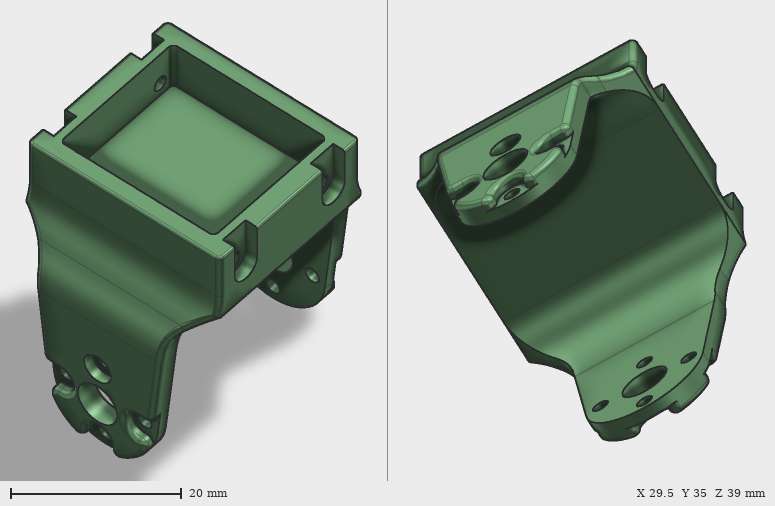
import cadquery as cq
import math


width_x = 29.5
span_y = 35.0
height_z = 39.0

tray_y = 25.5
tray_height = 10.02
pocket_x = 23.55
pocket_y = 20.5
pocket_depth = 7.0
pocket_corner_radius = 0.75
rim_fillet = 0.35

tip_radius = 8.0
arm_thickness = 3.0
taper_angle = 6.3
shoulder_angle = 40.0
neck_radius = 4.0
bend_top_drop = 6.6
bend_radius = 7.5
inner_bend_radius = 7.5
edge_fillet = 0.75

bore_diameter = 6.0
screw_circle_radius = 6.0
screw_diameter = 2.05
screw_head_diameter = 4.1
seat_depth = arm_thickness / 2
mouth_fillet = 1.0

slot_spacing = 16.0
slot_screw_drop = 5.0
slot_depth = 1.8

half_x = width_x / 2
half_y = span_y / 2
half_tray_y = tray_y / 2
inner_y = half_y - arm_thickness
top_z = height_z - tip_radius
tray_bottom_z = top_z - tray_height
bend_top_z = top_z - bend_top_drop
slot_screw_z = top_z - slot_screw_drop

bend_offset = (half_y - half_tray_y) / 2
bend_sweep = math.acos(1 - bend_offset / bend_radius)
bend_rise = bend_radius * math.sin(bend_sweep)
bend_bottom_z = bend_top_z - 2 * bend_rise


def outer_skin():
    """Solid block with the S-bent outer skin on both Y sides, full width in X."""
    mid_rise = bend_radius * math.sin(bend_sweep / 2)
    mid_offset = bend_radius * (1 - math.cos(bend_sweep / 2))
    half = (
        cq.Workplane("YZ")
        .moveTo(0, top_z)
        .lineTo(half_tray_y, top_z)
        .lineTo(half_tray_y, bend_top_z)
        .threePointArc(
            (half_tray_y + mid_offset, bend_top_z - mid_rise),
            (half_tray_y + bend_offset, bend_top_z - bend_rise),
        )
        .threePointArc(
            (half_y - mid_offset, bend_bottom_z + mid_rise),
            (half_y, bend_bottom_z),
        )
        .lineTo(half_y, -tip_radius)
        .lineTo(0, -tip_radius)
        .close()
        .extrude(half_x, both=True)
    )
    return half.union(half.mirror("XZ"))


def front_outline():
    """Plate with the XZ outline: wide tray, sloping shoulders, tapered arm and round tip."""
    taper = math.radians(taper_angle)
    slope_in = math.tan(taper)
    slope_up = math.tan(math.radians(shoulder_angle))
    tangent_x = tip_radius * math.cos(taper)
    tangent_z = -tip_radius * math.sin(taper)
    axis_x = tip_radius / math.cos(taper)
    neck_z = (tray_bottom_z - (half_x - axis_x) * slope_up) / (1 - slope_in * slope_up)
    neck_x = axis_x + neck_z * slope_in
    plate = (
        cq.Workplane("XZ")
        .moveTo(half_x, top_z)
        .lineTo(half_x, tray_bottom_z)
        .lineTo(neck_x, neck_z)
        .lineTo(tangent_x, tangent_z)
        .threePointArc((0, -tip_radius), (-tangent_x, tangent_z))
        .lineTo(-neck_x, neck_z)
        .lineTo(-half_x, tray_bottom_z)
        .lineTo(-half_x, top_z)
        .close()
        .extrude(half_y, both=True)
    )
    neck_corners = cq.selectors.BoxSelector(
        (-half_x, -half_y, neck_z - neck_radius), (half_x, half_y, tray_bottom_z - edge_fillet)
    )
    return plate.edges("|Y").edges(neck_corners).fillet(neck_radius)


def arm_seat(angle, open_ended):
    """Screw-head recesses in both arm skins, turned by the angle from +X toward -Z.

    An open-ended recess runs out through the edge of the arm.
    """
    seat = cq.Workplane("XZ").center(screw_circle_radius, 0).circle(screw_head_diameter / 2)
    seat = seat.extrude(seat_depth)
    if open_ended:
        run_out = cq.Workplane("XZ").center(screw_circle_radius + tip_radius / 2, 0)
        seat = seat.union(run_out.rect(tip_radius, screw_head_diameter).extrude(seat_depth))
    seat = seat.rotate((0, 0, 0), (0, 1, 0), angle).translate((0, seat_depth - half_y, 0))
    return seat.union(seat.mirror("XZ"))


def round_seat_mouths(block):
    """Round the corners where the seat walls run out through the edge of the arm."""
    wall_radius = math.hypot(screw_circle_radius, screw_head_diameter / 2)
    mouth_radius = (wall_radius + tip_radius) / 2

    def is_mouth_corner(edge):
        center = edge.Center()
        return abs(center.y) > inner_y and math.hypot(center.x, center.z) > mouth_radius

    return block.edges("|Y").filter(is_mouth_corner).fillet(mouth_fillet)


def round_skin_edges(block):
    """Round the edges of the arm skins, S-bends and tray corners, then the tray rim."""
    above_arms = cq.selectors.BoxSelector(
        (-width_x, -span_y, bend_bottom_z - edge_fillet), (width_x, span_y, top_z)
    )
    arm_edges = block.faces("<Y or >Y").edges("not |X")
    bend_and_tray_edges = block.edges(above_arms).edges("not (|X or |Y)")
    rounded = arm_edges.add(bend_and_tray_edges).fillet(edge_fillet)
    return rounded.faces(">Z").edges().fillet(rim_fillet)


def arm_gap():
    """Space between the arms, with rounded upper corners under the tray."""
    gap_height = tray_bottom_z + tip_radius
    gap = cq.Workplane("XY").box(width_x, 2 * inner_y, gap_height)
    gap = gap.translate((0, 0, tray_bottom_z - gap_height / 2))
    return gap.edges("|X and >Z").fillet(inner_bend_radius)


def arm_holes():
    """Bore and four screw holes through both arms."""
    return (
        cq.Workplane("XZ")
        .circle(bore_diameter / 2)
        .polarArray(screw_circle_radius, 0, 360, 4)
        .circle(screw_diameter / 2)
        .extrude(half_y, both=True)
    )


def tray_pocket():
    """Rectangular hollow of the tray, with small rounded corners."""
    pocket = cq.Workplane("XY").workplane(offset=top_z - pocket_depth)
    return pocket.rect(pocket_x, pocket_y).extrude(pocket_depth).edges("|Z").fillet(pocket_corner_radius)


def tray_slot(y):
    """Round-bottomed slots open at the rim, on both X sides, with a screw hole drilled across."""
    side = cq.Workplane("YZ", origin=(half_x - slot_depth, y, slot_screw_z))
    slot = side.circle(screw_head_diameter / 2).extrude(slot_depth)
    run_out = side.center(0, slot_screw_drop / 2).rect(screw_head_diameter, slot_screw_drop)
    slot = slot.union(run_out.extrude(slot_depth))
    drill = cq.Workplane("YZ", origin=(0, y, slot_screw_z)).circle(screw_diameter / 2)
    return slot.union(slot.mirror("YZ")).union(drill.extrude(half_x, both=True))


block = outer_skin().intersect(front_outline())
for seat_angle in (0, 90, 180):
    block = block.cut(arm_seat(seat_angle, open_ended=True))

yoke = round_skin_edges(round_seat_mouths(block))
yoke = yoke.cut(arm_gap()).cut(arm_seat(270, open_ended=False)).cut(arm_holes()).cut(tray_pocket())
for slot_y in (-slot_spacing / 2, slot_spacing / 2):
    yoke = yoke.cut(tray_slot(slot_y))

result = yoke